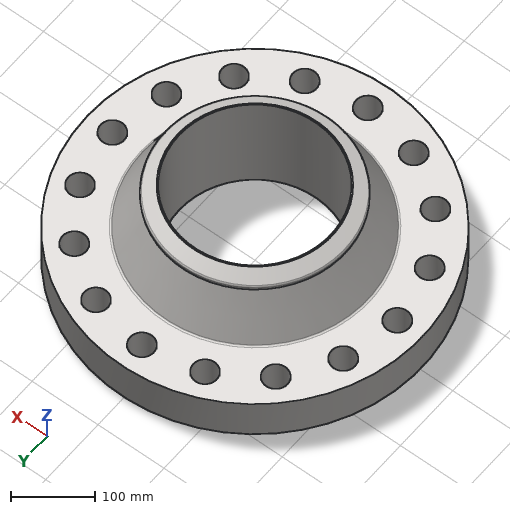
import cadquery as cq

flange_diameter = 508.0
flange_thickness = 64.5
face_diameter = 357.5
face_height = 7.5

total_height = 160.5
hub_base_diameter = 342.5
hub_fillet = 3.0
neck_diameter = 273.0
neck_length = 6.0
neck_fillet = 3.5
bevel_height = 13.0
land_diameter = 233.5
bore_diameter = 229.5

bolt_count = 16
bolt_circle_diameter = 431.5
bolt_hole_diameter = 35.5

flange_top = face_height + flange_thickness
bevel_bottom = total_height - bevel_height
hub_top = bevel_bottom - neck_length


def flange_body():
    """Revolve the half section, from the bore out to the flange rim."""
    return (
        cq.Workplane("XZ")
        .moveTo(bore_diameter / 2, 0)
        .lineTo(face_diameter / 2, 0)
        .lineTo(face_diameter / 2, face_height)
        .lineTo(flange_diameter / 2, face_height)
        .lineTo(flange_diameter / 2, flange_top)
        .lineTo(hub_base_diameter / 2, flange_top)
        .lineTo(neck_diameter / 2, hub_top)
        .lineTo(neck_diameter / 2, bevel_bottom)
        .lineTo(land_diameter / 2, total_height)
        .lineTo(bore_diameter / 2, total_height)
        .close()
        .revolve(360, (0, 0, 0), (0, 1, 0))
    )


def circle_edge(diameter, height):
    """Select the round edge of the given diameter and height about the part axis."""
    margin = 0.5
    outer = diameter / 2 + margin
    low = height - margin
    high = height + margin
    return cq.selectors.BoxSelector((-outer, -outer, low), (outer, outer, high), boundingbox=True)


def bolt_holes():
    """Cylinders evenly spaced on the bolt circle, one of them on the X axis."""
    return (
        cq.Workplane("XY")
        .polarArray(bolt_circle_diameter / 2, 0, 360, bolt_count)
        .circle(bolt_hole_diameter / 2)
        .extrude(flange_top)
    )


body = flange_body()
body = body.edges(circle_edge(hub_base_diameter, flange_top)).fillet(hub_fillet)
body = body.edges(circle_edge(neck_diameter, bevel_bottom)).fillet(neck_fillet)
result = body.cut(bolt_holes())